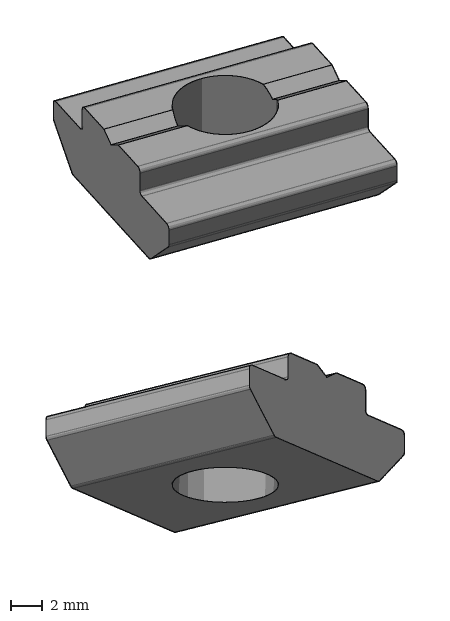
import cadquery as cq

width = 16.0
length = 16.0
height = 6.0

shoulder_height = 4.1
neck_width = 8.0
flank_height = 2.55
base_width = 10.72
edge_radius = 0.32
neck_root_radius = 0.25

groove_width = 2.0
groove_depth = 0.58

hole_diameter = 6.64


def edges_at(body, x, z):
    """Select the lengthwise edges at +x and -x at height z."""
    tolerance = 0.02
    boxes = [
        cq.selectors.BoxSelector(
            (side * x - tolerance, -length, z - tolerance),
            (side * x + tolerance, length, z + tolerance),
            boundingbox=False,
        )
        for side in (-1, 1)
    ]
    return body.edges("|Y").edges(boxes[0] + boxes[1])


def make_body():
    """Extrude the sharp T-shaped section along Y and round its edges."""
    right_half = [
        (base_width / 2, 0),
        (width / 2, flank_height),
        (width / 2, shoulder_height),
        (neck_width / 2, shoulder_height),
        (neck_width / 2, height),
    ]
    left_half = [(-x, z) for x, z in reversed(right_half)]
    body = (
        cq.Workplane("XZ")
        .polyline(right_half + left_half)
        .close()
        .extrude(length / 2, both=True)
    )
    corner_radii = [edge_radius, edge_radius, edge_radius, neck_root_radius, edge_radius]
    for (x, z), radius in zip(right_half, corner_radii):
        body = edges_at(body, x, z).fillet(radius)
    return body


def make_groove():
    """V-shaped cutter running the full length of the top face."""
    return (
        cq.Workplane("XZ")
        .polyline([
            (-groove_width / 2, height),
            (0, height - groove_depth),
            (groove_width / 2, height),
        ])
        .close()
        .extrude(length / 2, both=True)
    )


def make_hole():
    """Cylindrical cutter through the centre of the block."""
    return cq.Workplane("XY").circle(hole_diameter / 2).extrude(height)


result = make_body().cut(make_groove()).cut(make_hole())